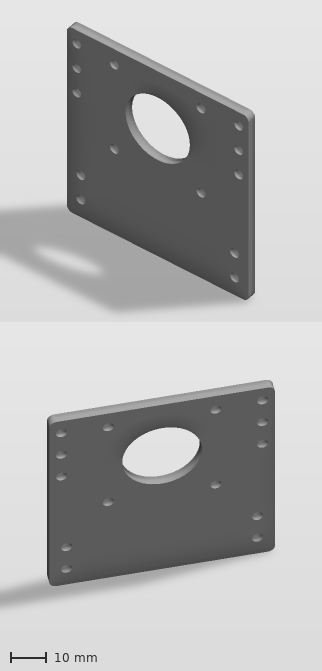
import cadquery as cq

width = 65.0
thickness = 3.0
height = 68.0
corner_radius = 2.0

bore_diameter = 23.0
bore_height = 12.85
motor_screw_spacing = 31.0

screw_diameter = 3.2
column_pitch = 9.0
upper_column_spacing = 57.95
upper_column_count = 3
upper_margin = 5.0
lower_column_spacing = 55.05
lower_column_count = 2
lower_margin = 6.45


def mirrored_columns(spacing, lowest, count):
    """Centres of two equal vertical hole columns, mirrored about X = 0."""
    return [
        (side * spacing / 2, lowest + i * column_pitch)
        for side in (-1, 1)
        for i in range(count)
    ]


def through_holes(points, diameter):
    """Cylinders through the full plate thickness at the given (x, z) points."""
    return (
        cq.Workplane("XZ", origin=(0, thickness / 2, 0))
        .pushPoints(points)
        .circle(diameter / 2)
        .extrude(thickness)
    )


plate = cq.Workplane("XY").box(width, thickness, height).edges("|Y").fillet(corner_radius)

motor_screws = [
    (x_side * motor_screw_spacing / 2, bore_height + z_side * motor_screw_spacing / 2)
    for x_side in (-1, 1)
    for z_side in (-1, 1)
]

upper_lowest = height / 2 - upper_margin - (upper_column_count - 1) * column_pitch
upper_screws = mirrored_columns(upper_column_spacing, upper_lowest, upper_column_count)

lower_lowest = -height / 2 + lower_margin
lower_screws = mirrored_columns(lower_column_spacing, lower_lowest, lower_column_count)

result = (
    plate
    .cut(through_holes([(0, bore_height)], bore_diameter))
    .cut(through_holes(motor_screws + upper_screws + lower_screws, screw_diameter))
)